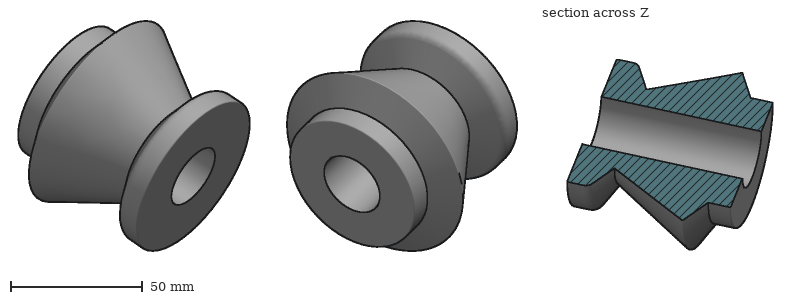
import cadquery as cq
import math

length = 63.5
rim_radius = 40.1
bore_diameter = 25.4

hub_radius = 28.5
hub_length = 8.9
neck_x = 48.1
flange_radius = 33.3

shoulder_angle = math.radians(60)
taper_angle = math.radians(30)

end_fillet = 0.6
rim_fillet = 0.4
flange_fillet = 3.4

apex_overshoot = rim_fillet * (math.cos(shoulder_angle) + math.cos(taper_angle) - 1)
apex_radius = rim_radius + apex_overshoot
apex_x = hub_length + (apex_radius - hub_radius) / math.tan(shoulder_angle)

neck_radius = apex_radius - (neck_x - apex_x) * math.tan(taper_angle)
flange_start_x = neck_x + (flange_radius - neck_radius) / math.tan(shoulder_angle)

profile = [
    (0, 0),
    (0, hub_radius),
    (hub_length, hub_radius),
    (apex_x, apex_radius),
    (neck_x, neck_radius),
    (flange_start_x, flange_radius),
    (length, flange_radius),
    (length, 0),
]
roller = cq.Workplane("XY").polyline(profile).close().revolve(360, (0, 0, 0), (1, 0, 0))


def round_circle(body, x, circle_radius, fillet_radius):
    """Fillet the circular edge centred on the axis at x with the given radius."""
    tolerance = 0.01
    circle = body.edges("%CIRCLE").filter(
        lambda edge: abs(edge.Center().x - x) < tolerance
        and abs(edge.radius() - circle_radius) < tolerance
    )
    return circle.fillet(fillet_radius)


roller = round_circle(roller, 0, hub_radius, end_fillet)
roller = round_circle(roller, apex_x, apex_radius, rim_fillet)
roller = round_circle(roller, flange_start_x, flange_radius, flange_fillet)
roller = round_circle(roller, length, flange_radius, end_fillet)

bore = cq.Workplane("YZ").circle(bore_diameter / 2).extrude(length)

result = roller.cut(bore)